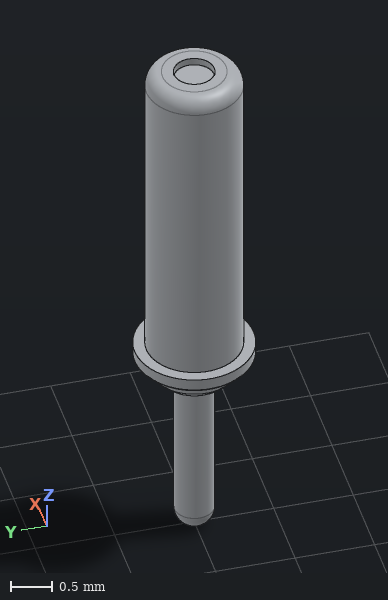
import cadquery as cq

total_length = 7.0

pin_radius = 0.25

barrel_radius = 0.6
rim_fillet = 0.2
recess_radius = pin_radius
recess_depth = 0.1

flange_radius = 0.75
flange_top = 2.8
flange_thickness = 0.2
flange_chamfer = 0.05

collar_radius = 0.56
collar_height = 0.295
collar_chamfer = 0.125

flange_bottom = flange_top - flange_thickness
collar_bottom = flange_bottom - collar_height


def cylinder(radius, bottom, top):
    return cq.Workplane("XY").workplane(offset=bottom).circle(radius).extrude(top - bottom)


def make_barrel():
    barrel = cylinder(barrel_radius, flange_top, total_length).faces(">Z").edges().fillet(rim_fillet)
    recess = cylinder(recess_radius, total_length - recess_depth, total_length)
    return barrel.cut(recess)


def make_flange():
    flange = cylinder(flange_radius, flange_bottom, flange_top)
    return flange.faces("<Z").edges().chamfer(flange_chamfer)


def make_collar():
    collar = cylinder(collar_radius, collar_bottom, flange_bottom)
    return collar.faces("<Z").edges().chamfer(collar_chamfer)


def make_pin():
    shank = cylinder(pin_radius, pin_radius, collar_bottom)
    tip = cq.Workplane("XY").sphere(pin_radius).translate((0, 0, pin_radius))
    return shank.union(tip)


result = make_barrel().union(make_flange()).union(make_collar()).union(make_pin())